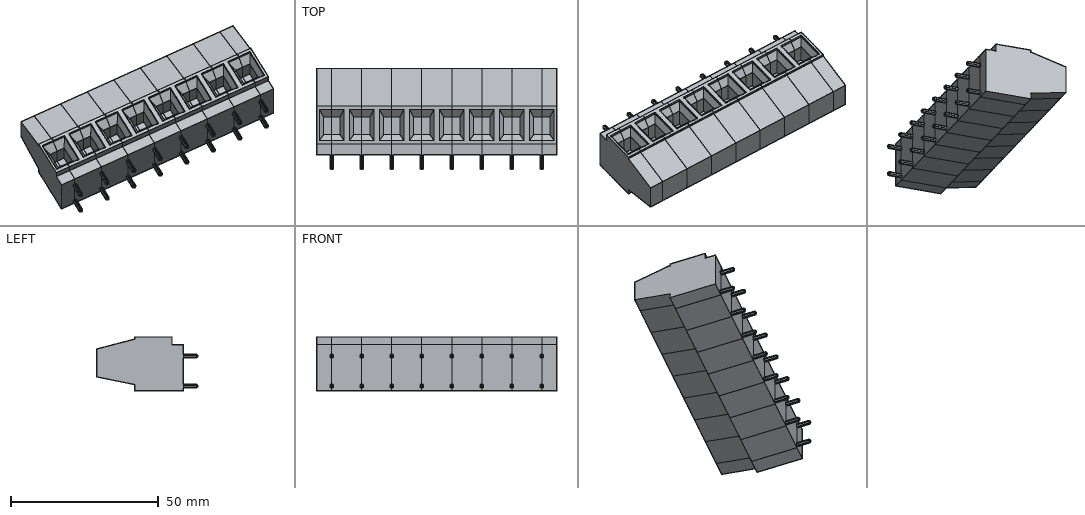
import cadquery as cq
import math

POLE_COUNT = 8
LENGTH = 81.3
PITCH = LENGTH / POLE_COUNT
HALF_PITCH = PITCH / 2
HEIGHT = 18.3
OVERALL_DEPTH = 34.3
HOUSING_DEPTH = 29.35

LEDGE_DEPTH = 3.7
LEDGE_HEIGHT = 15.7
BLOCK_DEPTH = 16.5
TOP_SLOPE_START = 17.55
TOP_SLOPE_END = 14.2
BOTTOM_SLOPE_START = 2.1
BOTTOM_SLOPE_END = 4.7

RIM_WIDTH = 8.4
RIM_FRONT = 4.9
RIM_BACK = 15.45
RIM_DEPTH = 0.8
THROAT_WIDTH = 5.45
THROAT_FRONT = 6.9
THROAT_BACK = 12.8
THROAT_DEPTH = 6.5
FUNNEL_DEPTH = 2.3

PIN_SIDES = 8
PIN_WIDTH = 1.3
PIN_LENGTH = OVERALL_DEPTH - HOUSING_DEPTH
PIN_TIP_CHAMFER = 0.4
LOWER_PIN_HEIGHT = 1.6
PIN_ROW_SPACING = PITCH
PIN_HEIGHTS = [LOWER_PIN_HEIGHT, LOWER_PIN_HEIGHT + PIN_ROW_SPACING]


def make_block(x_start, x_end):
    """Solid housing profile between two X positions."""
    profile = [
        (0, 0),
        (BLOCK_DEPTH, 0),
        (BLOCK_DEPTH, BOTTOM_SLOPE_START),
        (HOUSING_DEPTH, BOTTOM_SLOPE_END),
        (HOUSING_DEPTH, TOP_SLOPE_END),
        (BLOCK_DEPTH, TOP_SLOPE_START),
        (BLOCK_DEPTH, HEIGHT),
        (LEDGE_DEPTH, HEIGHT),
        (LEDGE_DEPTH, LEDGE_HEIGHT),
        (0, LEDGE_HEIGHT),
    ]
    return cq.Workplane("YZ", origin=(x_start, 0, 0)).polyline(profile).close().extrude(x_end - x_start)


def make_wire_entry(x):
    """Volume removed for one wire: straight rim, four-sided funnel and straight throat."""
    rim_length = RIM_BACK - RIM_FRONT
    rim_y = (RIM_FRONT + RIM_BACK) / 2
    throat_length = THROAT_BACK - THROAT_FRONT
    throat_y = (THROAT_FRONT + THROAT_BACK) / 2
    funnel_top = HEIGHT - RIM_DEPTH
    throat_top = funnel_top - FUNNEL_DEPTH

    rim_outline = cq.Workplane("XY", origin=(x, rim_y, funnel_top)).rect(RIM_WIDTH, rim_length)
    throat_outline = cq.Workplane("XY", origin=(x, throat_y, throat_top)).rect(THROAT_WIDTH, throat_length)
    funnel = (
        cq.Workplane("XY", origin=(x, rim_y, funnel_top))
        .rect(RIM_WIDTH, rim_length)
        .workplane(offset=-FUNNEL_DEPTH)
        .center(0, throat_y - rim_y)
        .rect(THROAT_WIDTH, throat_length)
        .loft(ruled=True)
    )
    return funnel.union(rim_outline.extrude(RIM_DEPTH)).union(throat_outline.extrude(-THROAT_DEPTH))


def make_pin(x, z):
    """Whole solder pin standing on the pin face, with flats on all four sides and a chamfered tip."""
    half_side_angle = 180 / PIN_SIDES
    corner_diameter = PIN_WIDTH / math.cos(math.radians(half_side_angle))
    return (
        cq.Workplane("XZ", origin=(x, 0, z))
        .transformed(rotate=(0, 0, half_side_angle))
        .polygon(PIN_SIDES, corner_diameter)
        .extrude(PIN_LENGTH)
        .faces("<Y")
        .chamfer(PIN_TIP_CHAMFER)
    )


def make_section(x_start, x_end, pole_planes):
    """One body of the strip, holding half a wire entry and two half pins at each of its pole planes."""
    section = make_block(x_start, x_end)
    pin_space = (
        cq.Workplane("XY", origin=(x_start, 0, 0))
        .box(x_end - x_start, PIN_LENGTH, HEIGHT, centered=False)
        .translate((0, -PIN_LENGTH, 0))
    )
    for x in pole_planes:
        section = section.cut(make_wire_entry(x))
        for z in PIN_HEIGHTS:
            section = section.union(make_pin(x, z).intersect(pin_space))
    return section


first_pole = HALF_PITCH
last_pole = LENGTH - HALF_PITCH

left_end = make_section(0, first_pole, [first_pole])
right_end = make_section(last_pole, LENGTH, [last_pole])

middle_sections = []
for index in range(POLE_COUNT - 1):
    near_pole = first_pole + index * PITCH
    far_pole = near_pole + PITCH
    middle_sections.append(make_section(near_pole, far_pole, [near_pole, far_pole]).val())

result = cq.Compound.makeCompound([left_end.val(), *middle_sections, right_end.val()])